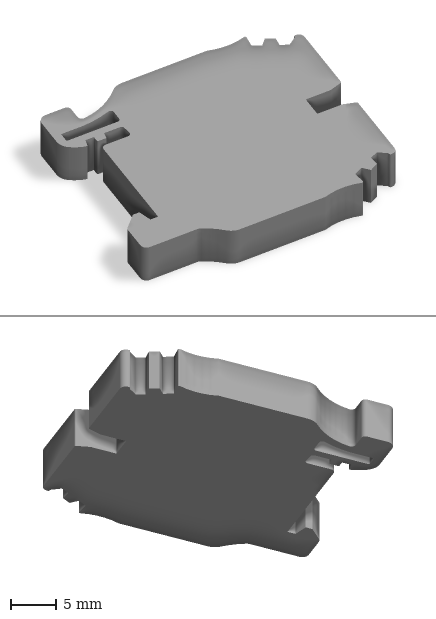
import cadquery as cq
import math

width = 27.0
height = 32.2
thickness = 5.0
half_width = width / 2

slot_half_width = 1.32
slot_mouth_half_width = 1.85
slot_floor_y = 27.4
slot_taper_y = 30.55

tip_x = 10.98
tip_y = 31.27
tip_root = (10.65, 31.15)
upper_notch = (9.95, 30.15)
upper_ledge = (10.43, 29.15)
tooth_top = (11.6, 29.27)
tooth_point = (12.15, 28.2)
lower_notch = (11.3, 27.45)
lower_ledge = (11.88, 26.37)
shoulder_overhang = 0.03
shoulder_y = 26.55

hollow_bottom_y = 21.67
hollow_depth = 0.4
hollow_middle_y = (shoulder_y + hollow_bottom_y) / 2

wall_bottom_y = 10.9
wall_bend_radius = 2.1
wall_bend_angle = math.radians(45)
left_flank_middle = (-11.8, 8.08)
left_flank_end = (-10.5, 3.95)
right_flank_middle = (12.2, 8.63)
right_flank_end = (11.2, 7.0)
right_flank_radius = 0.95

seat_y = 3.95
hook_inner_x = 7.35
hook_throat_y = 3.0
hook_nose_x = 5.73
hook_nose_top_y = 2.48
hook_nose_bottom_y = 1.67
hook_toe_x = 7.4
hook_outer_x = right_flank_end[0]

foot_outer_x = -13.05
foot_toe_x = -8.53
foot_toe_middle = (-7.8, 0.25)
foot_toe_end = (-7.25, 0.77)
foot_catch_middle = (-6.73, 1.67)
foot_catch = (-6.4, 2.67)
spring_x = -7.35
catch_root_y = 2.9
tab_x = -6.55
tab_top_y = 5.12
tab_root_y = 5.25
gap_right_x = -5.65
gap_left_top_y = 7.6
gap_right_top_y = 7.8

window_left_x = -9.5
window_right_x = -8.25
window_bottom_y = 1.03
window_top_y = 7.85
window_curve_start_y = 3.85
window_curve_middle = (-9.75, 5.85)
window_top_left_x = -10.37

tip_radius = 0.7
foot_radius = 1.0
hook_radius = 0.77
seat_radius = 0.5
small_radius = 0.4
edge_radius = 0.15


def on_left(point):
    """Mirror a point to the left half."""
    return (-point[0], point[1])


def round_corners(body, points, radius):
    """Fillet the Z-parallel edges standing on the given outline corners."""
    for x, y in points:
        corner = cq.selectors.NearestToPointSelector((x, y, thickness / 2))
        body = body.edges("|Z").edges(corner).fillet(radius)
    return body


shoulder = [
    (tip_x, height),
    (tip_x, tip_y),
    tip_root,
    upper_notch,
    upper_ledge,
    tooth_top,
    tooth_point,
    lower_notch,
    lower_ledge,
    (half_width + shoulder_overhang, shoulder_y),
]
slot_side = [
    (slot_half_width, slot_floor_y),
    (slot_half_width, slot_taper_y),
    (slot_mouth_half_width, height),
]
right_top = slot_side + shoulder
left_top = [on_left(point) for point in reversed(right_top)]
hollow_middle = (half_width - hollow_depth, hollow_middle_y)
hollow_bottom = (half_width, hollow_bottom_y)
wall_bottom = (half_width, wall_bottom_y)


def wall_bend_point(angle):
    """Point on the right wall's lower bend, turned by angle from the wall."""
    x = half_width - wall_bend_radius * (1 - math.cos(angle))
    y = wall_bottom_y - wall_bend_radius * math.sin(angle)
    return (x, y)


wall_bend_middle = wall_bend_point(wall_bend_angle / 2)
flank_top = wall_bend_point(wall_bend_angle)


def build_plate():
    """Extrude the sharp-cornered outline, clockwise from the slot floor."""
    outline = (
        cq.Workplane("XY")
        .polyline(right_top)
        .threePointArc(hollow_middle, hollow_bottom)
        .lineTo(*wall_bottom)
        .threePointArc(wall_bend_middle, flank_top)
        .threePointArc(right_flank_middle, right_flank_end)
        .lineTo(hook_outer_x, 0)
        .lineTo(hook_toe_x, 0)
        .lineTo(hook_nose_x, hook_nose_bottom_y)
        .lineTo(hook_nose_x, hook_nose_top_y)
        .lineTo(hook_inner_x, hook_throat_y)
        .lineTo(hook_inner_x, seat_y)
        .lineTo(gap_right_x, seat_y)
        .lineTo(gap_right_x, gap_right_top_y)
        .lineTo(spring_x, gap_left_top_y)
        .lineTo(spring_x, tab_root_y)
        .lineTo(tab_x, tab_top_y)
        .lineTo(tab_x, seat_y)
        .lineTo(spring_x, seat_y)
        .lineTo(spring_x, catch_root_y)
        .lineTo(*foot_catch)
        .threePointArc(foot_catch_middle, foot_toe_end)
        .threePointArc(foot_toe_middle, (foot_toe_x, 0))
        .lineTo(foot_outer_x, 0)
        .lineTo(foot_outer_x, seat_y)
        .lineTo(*left_flank_end)
        .threePointArc(left_flank_middle, on_left(flank_top))
        .threePointArc(on_left(wall_bend_middle), on_left(wall_bottom))
        .lineTo(*on_left(hollow_bottom))
        .threePointArc(on_left(hollow_middle), left_top[0])
    )
    for point in left_top[1:]:
        outline = outline.lineTo(*point)
    return outline.close().extrude(thickness)


def round_plate(body):
    """Round the outline corners."""
    tips = [(tip_x, height), (-tip_x, height)]
    hook_corners = [(hook_outer_x, 0), (hook_toe_x, 0)]
    seat_corners = [(foot_outer_x, seat_y), left_flank_end, (gap_right_x, seat_y)]
    small_corners = [
        (gap_right_x, gap_right_top_y),
        (spring_x, gap_left_top_y),
    ]
    fine_corners = [
        (tab_x, seat_y),
        (slot_mouth_half_width, height),
        (-slot_mouth_half_width, height),
        (tip_x, tip_y),
        (-tip_x, tip_y),
        tip_root,
        on_left(tip_root),
        right_top[-1],
        left_top[0],
    ]
    body = round_corners(body, tips, tip_radius)
    body = round_corners(body, [right_flank_end], right_flank_radius)
    body = round_corners(body, [(foot_outer_x, 0)], foot_radius)
    body = round_corners(body, hook_corners, hook_radius)
    body = round_corners(body, seat_corners, seat_radius)
    body = round_corners(body, small_corners, small_radius)
    return round_corners(body, fine_corners, edge_radius)


def build_window():
    """Solid that cuts the spring window."""
    top_left = (window_top_left_x, window_top_y)
    top_right = (window_right_x, window_top_y)
    bottom_right = (window_right_x, window_bottom_y)
    window = (
        cq.Workplane("XY")
        .moveTo(window_left_x, window_bottom_y)
        .lineTo(window_left_x, window_curve_start_y)
        .threePointArc(window_curve_middle, top_left)
        .lineTo(*top_right)
        .lineTo(*bottom_right)
        .close()
        .extrude(thickness)
    )
    window = round_corners(window, [top_left, top_right], small_radius)
    return round_corners(window, [bottom_right], edge_radius)


result = round_plate(build_plate()).cut(build_window())